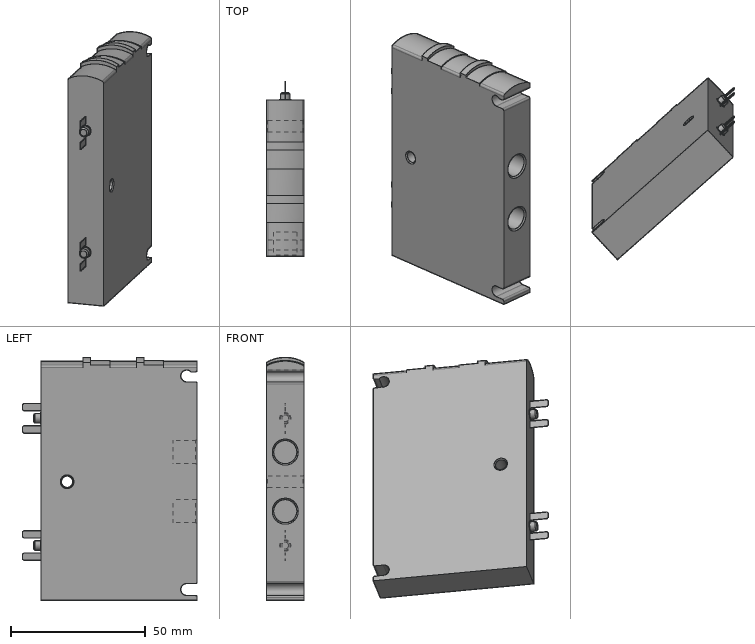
import cadquery as cq

width = 14.0
depth = 58.1
total_height = 90.35

roof_crest = 88.9
roof_edge = 87.2
roof_edge_fillet = 1.1
pad_crest = 89.2
pad_edge = 87.55
rib_edge = 88.45
band_starts = (12.6, 32.4)
pad_length = 7.1
rib_length = 2.9

slot_diameter = 4.3
slot_depth = 6.05
upper_slot_z = 83.4
upper_slot_lip = 1.45
lower_slot_z = 4.1
slot_mouth_fillet = 0.7

port_diameter = 8.6
port_mouth_diameter = 9.7
port_depth = 9.0
port_heights = (33.2, 55.1)

cross_hole_diameter = 4.2
cross_hole_mouth_diameter = 5.1
cross_hole_y = 48.3
cross_hole_z = 44.1

connector_heights = (20.4, 67.7)
blade_offset = 4.2
blade_length = 6.9
blade_height = 2.8
blade_thickness = 0.3
blade_tip_chamfer = 0.5
button_diameter = 3.6
button_length = 2.7
button_chamfer = 0.5
collar_diameter = 4.2
collar_length = 0.2
embed = 0.9


def domed_block(y_start, length, base, edge, crest):
    """Full-width block along Y whose top is a shallow arc."""
    half = width / 2
    return (
        cq.Workplane("XZ", origin=(0, y_start, 0))
        .moveTo(-half, base)
        .lineTo(half, base)
        .lineTo(half, edge)
        .threePointArc((0, crest), (-half, edge))
        .close()
        .extrude(-length)
    )


def slot(z, upper_reach):
    """Round-ended slot; upper_reach is the height of its upper flat above the centre."""
    radius = slot_diameter / 2
    centre_y = slot_depth - radius
    round_end = cq.Workplane("YZ").center(centre_y, z).circle(radius).extrude(width / 2, both=True)
    channel_height = radius + upper_reach
    channel = cq.Workplane("XY").box(width, centre_y, channel_height)
    channel = channel.translate((0, centre_y / 2, z - radius + channel_height / 2))
    return round_end.union(channel)


def flared_hole(workplane, diameter, mouth_diameter, length):
    """Cylinder along the workplane normal with a 45 degree flare at its start."""
    flare = (mouth_diameter - diameter) / 2
    hole = workplane.circle(diameter / 2).extrude(length)
    mouth = workplane.circle(mouth_diameter / 2).extrude(flare, taper=45)
    return hole.union(mouth)


def blade(z):
    length = blade_length + embed
    plate = cq.Workplane("XY").box(blade_thickness, length, blade_height)
    plate = plate.edges(">Y and |X").chamfer(blade_tip_chamfer)
    return plate.translate((0, depth - embed + length / 2, z))


def button(z):
    rear = cq.Workplane("XZ", origin=(0, depth - embed, z))
    stem = rear.circle(button_diameter / 2).extrude(-(button_length + embed))
    stem = stem.faces(">Y").chamfer(button_chamfer)
    collar = rear.circle(collar_diameter / 2).extrude(-(collar_length + embed))
    return stem.union(collar)


body = domed_block(0, depth, 0, roof_edge, roof_crest)
roof_edges = cq.selectors.BoxSelector(
    (-width, -0.9, roof_edge - 0.1), (width, depth + 0.9, roof_edge + 0.1)
)
body = body.edges("|Y").edges(roof_edges).fillet(roof_edge_fillet)

band_base = roof_edge - 2 * roof_edge_fillet
for y_start in band_starts:
    body = body.union(domed_block(y_start, pad_length, band_base, pad_edge, pad_crest))
    body = body.union(domed_block(y_start + pad_length, rib_length, band_base, rib_edge, total_height))

slot_radius = slot_diameter / 2
body = body.cut(slot(upper_slot_z, upper_slot_lip))
body = body.cut(slot(lower_slot_z, slot_radius))
mouth_heights = (
    lower_slot_z - slot_radius,
    lower_slot_z + slot_radius,
    upper_slot_z - slot_radius,
    upper_slot_z + upper_slot_lip,
)
for z in mouth_heights:
    mouth_edge = cq.selectors.NearestToPointSelector((0, 0, z))
    body = body.edges("|X").edges(mouth_edge).fillet(slot_mouth_fillet)

for z in port_heights:
    front = cq.Workplane("XZ", origin=(0, 0, z)).workplane(invert=True)
    body = body.cut(flared_hole(front, port_diameter, port_mouth_diameter, port_depth))

left_side = cq.Workplane("YZ", origin=(-width / 2, cross_hole_y, cross_hole_z))
half_hole = flared_hole(left_side, cross_hole_diameter, cross_hole_mouth_diameter, width / 2)
body = body.cut(half_hole).cut(half_hole.mirror("YZ"))

for z in connector_heights:
    body = body.union(button(z))
    for offset in (-blade_offset, blade_offset):
        body = body.union(blade(z + offset))

result = body